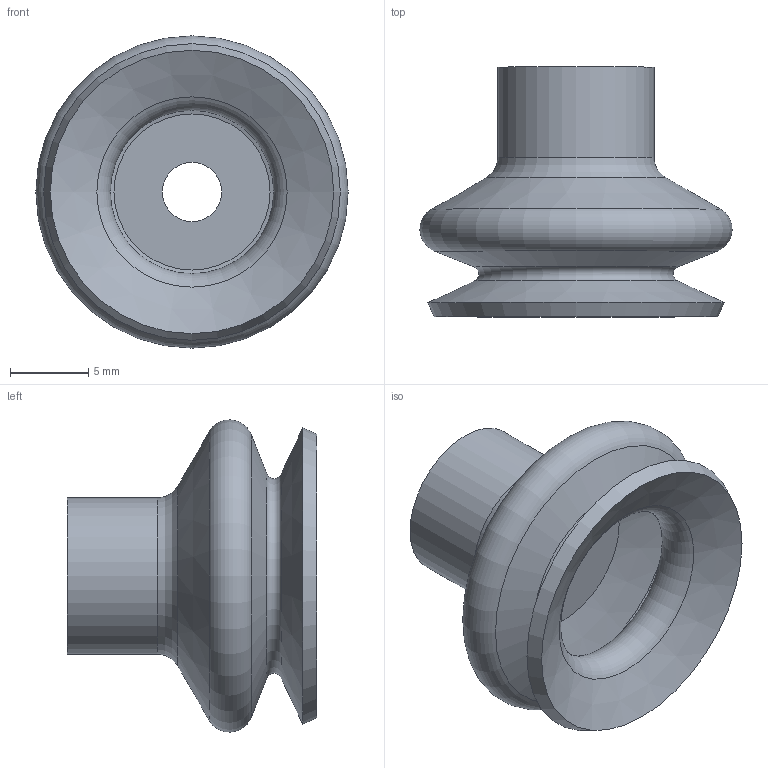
import cadquery as cq
import math


total_height = 16.0
wall = 1.0

stem_radius = 5.0
stem_fillet = 1.5
bore_radius = 1.9

bulge_radius = 10.0
bulge_height = 5.6
bulge_outer_round = 1.5
shoulder_angle = 30.0
ceiling_angle = 15.0
floor_radius = 5.0

neck_radius = 6.23
neck_height = 2.75
neck_outer_round = 0.5
lip_angle = 25.0

bulge_inner_round = bulge_outer_round - wall
neck_inner_round = neck_outer_round + wall
bulge_centre = (bulge_radius - bulge_outer_round, bulge_height)
neck_centre = (neck_radius + neck_outer_round, neck_height)

centre_dr = bulge_centre[0] - neck_centre[0]
centre_dy = bulge_centre[1] - neck_centre[1]
web_angle = math.degrees(
    math.atan2(centre_dy, centre_dr)
    - math.asin((bulge_outer_round + neck_outer_round) / math.hypot(centre_dr, centre_dy))
)

OUTWARD = 0.0
INWARD = 180.0
shoulder_normal = 90.0 - shoulder_angle
ceiling_normal = 90.0 - ceiling_angle
bulge_web_normal = web_angle - 90.0
neck_web_normal = web_angle + 90.0
neck_lip_normal = 270.0 - lip_angle


def on_round(centre, radius, angle):
    """Point (r, y) on a circle at the given angle in degrees."""
    a = math.radians(angle)
    return (centre[0] + radius * math.cos(a), centre[1] + radius * math.sin(a))


def slope(angle):
    return math.tan(math.radians(angle))


lip_inner_start = on_round(neck_centre, neck_inner_round, neck_lip_normal)
rim_inner = (lip_inner_start[0] + lip_inner_start[1] / slope(lip_angle), 0.0)
rim_outer = on_round(rim_inner, wall, 90.0 - lip_angle)

shoulder_start = on_round(bulge_centre, bulge_outer_round, shoulder_normal)
fillet_centre_r = stem_radius + stem_fillet
fillet_end_r = fillet_centre_r - stem_fillet * math.sin(math.radians(shoulder_angle))
fillet_end_y = shoulder_start[1] + (shoulder_start[0] - fillet_end_r) * slope(shoulder_angle)
fillet_centre = (
    fillet_centre_r,
    fillet_end_y + stem_fillet * math.cos(math.radians(shoulder_angle)),
)
fillet_middle_angle = (INWARD + 270.0 - shoulder_angle) / 2

ceiling_start = on_round(bulge_centre, bulge_inner_round, ceiling_normal)
floor_height = ceiling_start[1] + (ceiling_start[0] - floor_radius) * slope(ceiling_angle)


def outer_profile(start):
    """Outside of the cup, from the rim up to the top of the stem."""
    return (
        start.lineTo(*rim_outer)
        .lineTo(*on_round(neck_centre, neck_outer_round, neck_lip_normal))
        .threePointArc(
            on_round(neck_centre, neck_outer_round, INWARD),
            on_round(neck_centre, neck_outer_round, neck_web_normal),
        )
        .lineTo(*on_round(bulge_centre, bulge_outer_round, bulge_web_normal))
        .threePointArc(on_round(bulge_centre, bulge_outer_round, OUTWARD), shoulder_start)
        .lineTo(fillet_end_r, fillet_end_y)
        .threePointArc(
            on_round(fillet_centre, stem_fillet, fillet_middle_angle),
            (stem_radius, fillet_centre[1]),
        )
        .lineTo(stem_radius, total_height)
    )


def inner_profile(start):
    """Bore and cavity, from the top of the stem back down to the lip."""
    return (
        start.lineTo(bore_radius, total_height)
        .lineTo(bore_radius, floor_height)
        .lineTo(floor_radius, floor_height)
        .lineTo(*ceiling_start)
        .threePointArc(
            on_round(bulge_centre, bulge_inner_round, OUTWARD),
            on_round(bulge_centre, bulge_inner_round, bulge_web_normal),
        )
        .lineTo(*on_round(neck_centre, neck_inner_round, neck_web_normal))
        .threePointArc(on_round(neck_centre, neck_inner_round, INWARD), lip_inner_start)
    )


section = inner_profile(outer_profile(cq.Workplane("XY").moveTo(*rim_inner))).close()
result = section.revolve(360.0, (0, 0, 0), (0, 1, 0))